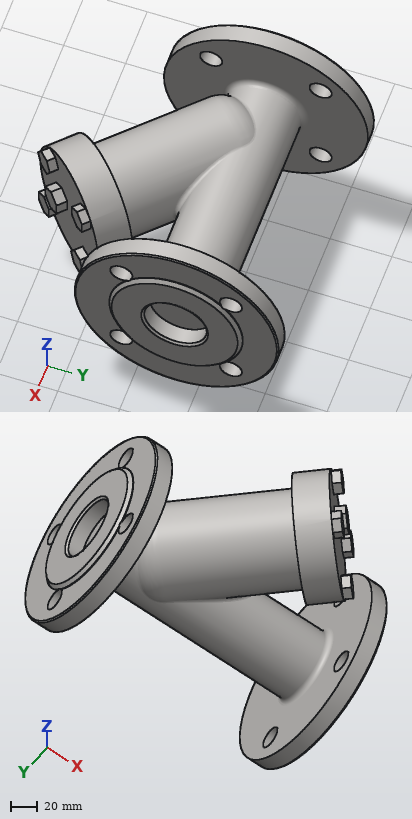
import cadquery as cq
import math

length = 230.0
flange_dia = 165.0
flange_thickness = 15.5
flange_chamfer = 1.2
face_dia = 107.9
face_height = 3.5
face_chamfer = 3.0
pipe_dia = 60.3
pipe_fillet = 4.5
flange_hole_dia = 18.0
flange_hole_circle_dia = 125.1
flange_hole_count = 4
flange_hole_start = 45.0
flange_depth = face_height + flange_thickness

bore_dia = 50.4
bore_depth = 15.0
bore_chamfer = 1.8

branch_angle = 45.0
branch_root_x = -70.0
branch_dia = 78.0
branch_length = 128.0
branch_round = 25.0
branch_round_start = 22.8
joint_fillet = 3.0
neck_fillet = 3.0

cover_dia = 101.7
cover_thickness = 29.0
bolt_circle_dia = 81.9
bolt_count = 4
bolt_flats = 18.0
bolt_height = 7.4
plug_flats = 19.3
plug_height = 9.2
plug_offset = 12.9
plug_turn = 90.0


def branch_plane(distance):
    """Plane across the branch axis; local X lies in the XY plane and local Y is global Z."""
    angle = math.radians(branch_angle)
    axis = cq.Vector(math.cos(angle), -math.sin(angle), 0)
    across = cq.Vector(math.sin(angle), math.cos(angle), 0)
    return cq.Plane(origin=cq.Vector(branch_root_x, 0, 0) + axis * distance, xDir=across, normal=axis)


def on_branch(shape, distance):
    """Move a shape built on the XY plane to a distance along the branch axis."""
    return cq.Workplane(shape.val().moved(cq.Location(branch_plane(distance))))


def run_pipe():
    span = length - 2 * flange_depth
    return cq.Workplane("YZ").circle(pipe_dia / 2).extrude(span / 2, both=True)


def branch():
    """Cylinder with a rounded inner end."""
    bottom = branch_round_start - branch_round
    cylinder = cq.Workplane("XY").circle(branch_dia / 2).extrude(branch_length - bottom)
    return on_branch(cylinder.faces("<Z").edges().fillet(branch_round), bottom)


def blend_joint(body):
    """Fillet where the branch meets the pipe: the only edges that are neither lines nor circles."""
    joint = [edge for edge in body.edges().vals() if edge.geomType() not in ("LINE", "CIRCLE")]
    return body.newObject(joint).fillet(joint_fillet)


def fillet_ring(shaft_dia, radius):
    """Concave ring that blends a shaft into the XY plane it stands on."""
    shaft_radius = shaft_dia / 2
    middle = radius * (1 - math.sqrt(0.5))
    return (
        cq.Workplane("XZ")
        .lineTo(shaft_radius + radius, 0)
        .threePointArc((shaft_radius + middle, middle), (shaft_radius, radius))
        .lineTo(0, radius)
        .close()
        .revolve(360, (0, 0, 0), (0, 1, 0))
    )


def end_flange():
    """Flange at the -X end with its raised face, bolt holes and blind bore."""
    face = cq.Workplane("XY").circle(face_dia / 2).extrude(face_height)
    face = face.faces("<Z").edges().chamfer(face_chamfer)
    plate = cq.Workplane("XY").workplane(offset=face_height).circle(flange_dia / 2).extrude(flange_thickness)
    plate = plate.faces("<Z").edges().chamfer(flange_chamfer)
    holes = (
        cq.Workplane("XY")
        .polarArray(flange_hole_circle_dia / 2, flange_hole_start, 360, flange_hole_count)
        .circle(flange_hole_dia / 2)
        .extrude(flange_depth)
    )
    bore = cq.Workplane("XY").circle(bore_dia / 2).extrude(bore_depth)
    flange = face.union(plate).cut(holes).cut(bore)
    flange = flange.faces("<Z").edges(cq.selectors.RadiusNthSelector(0)).chamfer(bore_chamfer)
    flange = flange.union(fillet_ring(pipe_dia, pipe_fillet).translate((0, 0, flange_depth)))
    return flange.rotate((0, 0, 0), (0, 1, 0), 90).translate((-length / 2, 0, 0))


def hex_head(flats, height, turn):
    """Hexagonal head; with no turn, two of its corners lie on local X."""
    corners = flats / math.cos(math.pi / 6)
    return cq.Workplane("XY").polygon(6, corners).extrude(height).rotate((0, 0, 0), (0, 0, 1), turn)


def cover():
    """Round cover with a ring of bolt heads and a plug head set off its centre."""
    shape = cq.Workplane("XY").circle(cover_dia / 2).extrude(cover_thickness)
    reach = bolt_circle_dia / 2 * math.sqrt(0.5)
    bolt = hex_head(bolt_flats, bolt_height, 0).translate((-reach, reach, cover_thickness))
    for index in range(bolt_count):
        shape = shape.union(bolt.rotate((0, 0, 0), (0, 0, 1), 360 / bolt_count * index))
    plug = hex_head(plug_flats, plug_height, plug_turn).translate((-plug_offset, 0, cover_thickness))
    neck = fillet_ring(branch_dia, neck_fillet).mirror("XY")
    return on_branch(shape.union(plug).union(neck), branch_length)


body = blend_joint(run_pipe().union(branch()))
flange = end_flange()
result = body.union(flange).union(flange.mirror("YZ")).union(cover())